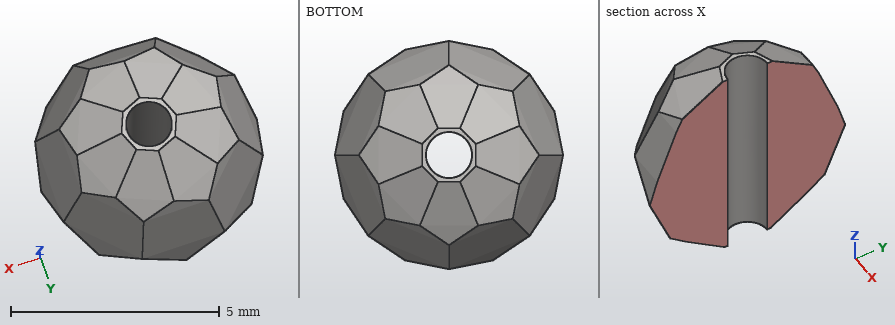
import cadquery as cq
import math

height = 5.54
girdle_diameter = 5.49
shoulder_diameter = 4.33
crown_diameter = 3.67
end_diameter = 1.395
bore_diameter = 1.1

sides = 8
corner_pitch = 360.0 / sides
half_pitch = corner_pitch / 2

end_height = height / 2
crown_height = height * 3 / 8
shoulder_height = height * 5 / 16
girdle_height = height / 16


def ring(diameter, z, start_angle):
    """Corners of a horizontal octagon."""
    radius = diameter / 2
    angles = [math.radians(start_angle + i * corner_pitch) for i in range(sides)]
    return [cq.Vector(radius * math.cos(a), radius * math.sin(a), z) for a in angles]


def facet(corners):
    return cq.Face.makeFromWires(cq.Wire.makePolygon(corners, close=True))


def quad_band(lower, upper):
    """Flat four-sided facets between two rings with aligned corners."""
    facets = []
    for i in range(sides):
        j = (i + 1) % sides
        facets.append(facet([lower[i], lower[j], upper[j], upper[i]]))
    return facets


def triangle_band(leading, trailing):
    """Triangles between two rings, the trailing one turned on by half a pitch."""
    facets = []
    for i in range(sides):
        j = (i + 1) % sides
        facets.append(facet([leading[i], leading[j], trailing[i]]))
        facets.append(facet([trailing[i], trailing[j], leading[j]]))
    return facets


def faceted_body():
    top_end = ring(end_diameter, end_height, 0)
    top_crown = ring(crown_diameter, crown_height, 0)
    top_shoulder = ring(shoulder_diameter, shoulder_height, half_pitch)
    top_girdle = ring(girdle_diameter, girdle_height, half_pitch)
    bottom_girdle = ring(girdle_diameter, -girdle_height, 0)
    bottom_shoulder = ring(shoulder_diameter, -shoulder_height, 0)
    bottom_crown = ring(crown_diameter, -crown_height, half_pitch)
    bottom_end = ring(end_diameter, -end_height, half_pitch)

    facets = [facet(top_end), facet(bottom_end)]
    facets += quad_band(top_crown, top_end)
    facets += triangle_band(top_crown, top_shoulder)
    facets += quad_band(top_girdle, top_shoulder)
    facets += triangle_band(bottom_girdle, top_girdle)
    facets += quad_band(bottom_girdle, bottom_shoulder)
    facets += triangle_band(bottom_shoulder, bottom_crown)
    facets += quad_band(bottom_crown, bottom_end)
    solid = cq.Solid.makeSolid(cq.Shell.makeShell(facets))
    return cq.Workplane("XY").add(solid.fix())


bore = cq.Workplane("XY").circle(bore_diameter / 2).extrude(height, both=True)

result = faceted_body().cut(bore)